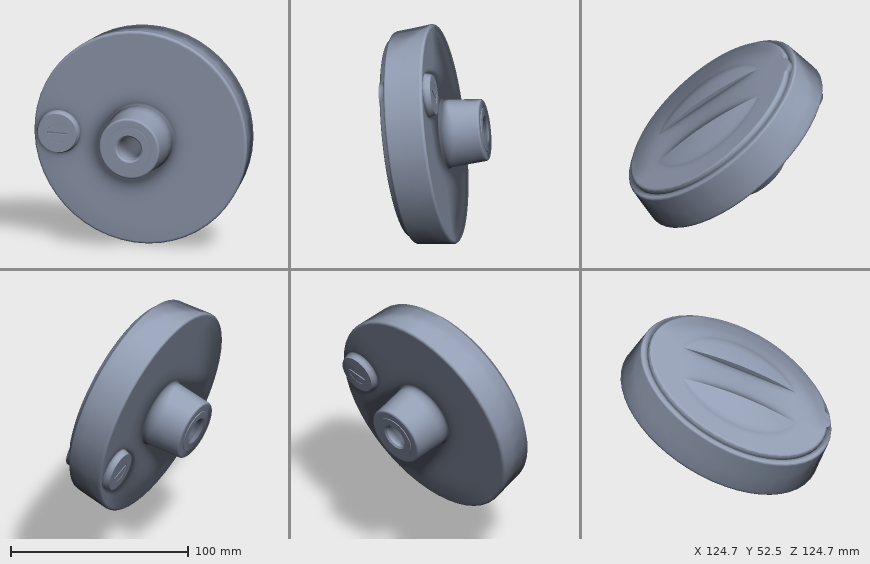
import cadquery as cq
import math


rim_radius = 62.52
rim_width = 22.7
rim_taper = 6.0
rim_rounding = 1.5
rim_back_rounding = 1.2

disc_radius = 56.4
disc_top = 26.0
disc_rounding = 1.8

dome_base_radius = 38.2
dome_sphere_radius = 204.0
channel_width = 28.2

hub_end_radius = 17.5
hub_length = 23.0
hub_taper = 4.4
hub_root_fillet = 1.2
hub_end_rounding = 1.2
bushing_diameter = 25.0
bushing_protrusion = 0.4
bore_diameter = 14.0
bore_chamfer = 1.0
bore_depth = 40.0

edge_margin = 0.1

handle_offset = 47.6
handle_boss_root_diameter = 25.0
handle_boss_tip_diameter = 22.5
handle_boss_height = 4.0
handle_stub_radius = 10.2
screw_diameter = 12.0
screw_recess_depth = 0.2
screw_slot_width = 1.1
screw_slot_depth = 1.0


def cylinder(diameter, y_start, y_end, x=0.0):
    """Cylinder parallel to Y between two Y positions."""
    height = y_end - y_start
    return cq.Workplane("XY").add(
        cq.Solid.makeCylinder(diameter / 2, height, cq.Vector(x, y_start, 0), cq.Vector(0, 1, 0))
    )


def cone(start_radius, end_radius, y_start, height, direction, x=0.0):
    """Frustum starting at y_start and growing along +Y (direction 1) or -Y (direction -1)."""
    return cq.Workplane("XY").add(
        cq.Solid.makeCone(
            start_radius, end_radius, height, cq.Vector(x, y_start, 0), cq.Vector(0, direction, 0)
        )
    )


def make_rim():
    back_radius = rim_radius - rim_width * math.tan(math.radians(rim_taper))
    rim = cone(rim_radius, back_radius, 0, rim_width, 1)
    rim = rim.faces("<Y").edges().fillet(rim_rounding)
    return rim.faces(">Y").edges().fillet(rim_back_rounding)


def make_back_disc():
    disc = cylinder(2 * disc_radius, rim_width / 2, disc_top)
    return disc.faces(">Y").edges().fillet(disc_rounding)


def make_dome():
    centre_to_base = math.sqrt(dome_sphere_radius**2 - dome_base_radius**2)
    crown_height = dome_sphere_radius - centre_to_base
    dome = (
        cq.Workplane("XY")
        .moveTo(0, disc_top)
        .lineTo(dome_base_radius, disc_top)
        .radiusArc((0, disc_top + crown_height), -dome_sphere_radius)
        .close()
        .revolve(360, (0, 0, 0), (0, 1, 0))
    )
    channel = (
        cq.Workplane("XY")
        .box(2 * dome_base_radius, crown_height, channel_width, centered=(True, False, True))
        .translate((0, disc_top, 0))
    )
    return dome.cut(channel)


def add_hub(body):
    root_radius = hub_end_radius + hub_length * math.tan(math.radians(hub_taper))
    hub = cone(root_radius, hub_end_radius, 0, hub_length, -1)
    hub = hub.faces("<Y").edges().fillet(hub_end_rounding)
    body = body.union(hub)
    reach = root_radius + edge_margin
    root_edge = cq.selectors.BoxSelector((-reach, -edge_margin, -reach), (reach, edge_margin, reach))
    body = body.edges(root_edge).fillet(hub_root_fillet)
    return body.union(cylinder(bushing_diameter, -hub_length - bushing_protrusion, 0))


def cut_bore(body):
    front = -hub_length - bushing_protrusion
    mouth_radius = bore_diameter / 2 + bore_chamfer
    body = body.cut(cylinder(bore_diameter, front, front + bore_depth))
    return body.cut(cone(mouth_radius, bore_diameter / 2, front, bore_chamfer, 1))


def add_handle_mount(body):
    boss = cone(
        handle_boss_root_diameter / 2,
        handle_boss_tip_diameter / 2,
        0,
        handle_boss_height,
        -1,
        -handle_offset,
    )
    stub = cylinder(2 * handle_stub_radius, rim_width / 2, disc_top, -handle_offset)
    return body.union(boss).union(stub)


def cut_screw_head(body):
    """Screw head set just below the tip of the boss, with a slot across its full diameter."""
    head_face = screw_recess_depth - handle_boss_height
    slot_floor = head_face + screw_slot_depth
    recess = cylinder(screw_diameter, -handle_boss_height, head_face, -handle_offset)
    slot = (
        cq.Workplane("XY")
        .box(screw_diameter, screw_slot_depth, screw_slot_width, centered=(True, False, True))
        .translate((-handle_offset, head_face, 0))
    )
    screw_head = cylinder(screw_diameter, head_face, slot_floor, -handle_offset)
    return body.cut(recess).cut(slot.intersect(screw_head))


body = make_rim()
body = add_hub(body)
body = body.union(make_back_disc())
body = body.union(make_dome())
body = add_handle_mount(body)
body = cut_bore(body)
result = cut_screw_head(body)